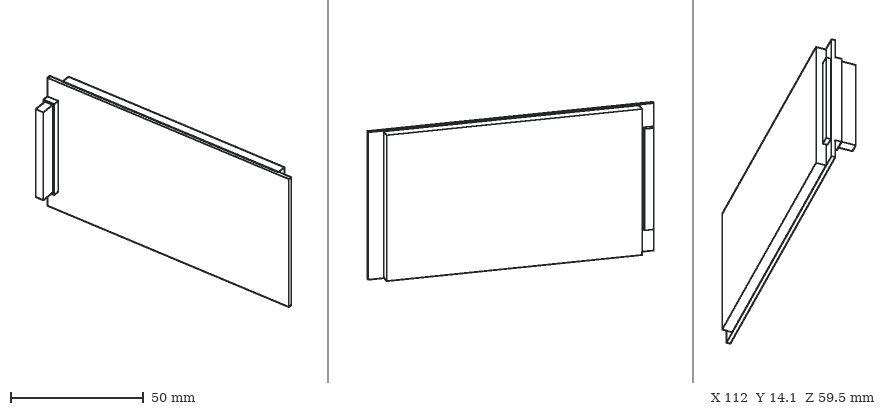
import cadquery as cq

board_length = 112.0
board_height = 59.5
board_thickness = 1.6

module_start = 5.8
module_length = 100.1
module_height = 58.9
module_depth = 4.0

header_width = 5.0
header_height = 42.2
header_depth = 2.6

pin_start = 0.7
pin_width = 3.6
pin_height = 40.9
pin_front_length = 5.9
pin_rear_length = 1.9


def block(x_start, length, y_front, y_rear, height):
    """Box between two Y planes, centred on the board's mid height."""
    return (
        cq.Workplane("XY")
        .box(length, y_rear - y_front, height, centered=(False, False, True))
        .translate((x_start, y_front, board_height / 2))
    )


board_front = -board_thickness
header_front = board_front - header_depth
pin_front = header_front - pin_front_length

board = block(0, board_length, board_front, 0, board_height)
module = block(module_start, module_length, 0, module_depth, module_height)
header = block(0, header_width, header_front, board_front, header_height)
pin_row = block(pin_start, pin_width, pin_front, pin_rear_length, pin_height)

result = board.union(module).union(header).union(pin_row)